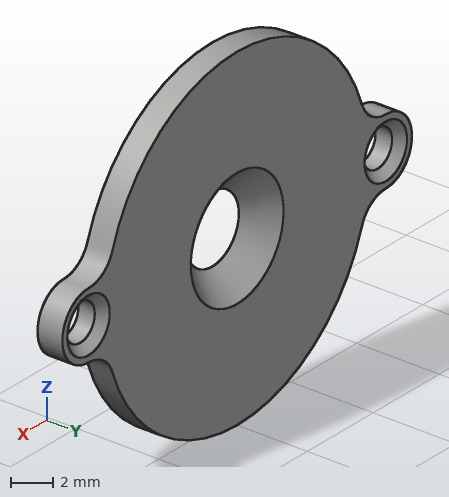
import cadquery as cq
import math

length = 26.5
thickness = 1.5
disc_radius = 20.0 / 2
ear_radius = 2.0
blend_radius = 1.9
center_hole_diameter = 4.0
ear_hole_diameter = 2.2
ear_sink_depth = 0.5

ear_x = length / 2 - ear_radius

disc_to_blend = disc_radius + blend_radius
ear_to_blend = ear_radius + blend_radius
blend_x = (disc_to_blend**2 - ear_to_blend**2 + ear_x**2) / (2 * ear_x)
blend_z = math.sqrt(disc_to_blend**2 - blend_x**2)

disc_x = blend_x * disc_radius / disc_to_blend
disc_z = blend_z * disc_radius / disc_to_blend
ear_tangent_x = ear_x + (blend_x - ear_x) * ear_radius / ear_to_blend
ear_tangent_z = blend_z * ear_radius / ear_to_blend

chord_x = (disc_x + ear_tangent_x) / 2 - blend_x
chord_z = (disc_z + ear_tangent_z) / 2 - blend_z
chord_distance = math.hypot(chord_x, chord_z)
blend_mid_x = blend_x + blend_radius * chord_x / chord_distance
blend_mid_z = blend_z + blend_radius * chord_z / chord_distance


def make_plate():
    """Disc with two blended ears, centred on the origin."""
    return (
        cq.Workplane("XZ")
        .moveTo(-disc_x, disc_z)
        .threePointArc((0, disc_radius), (disc_x, disc_z))
        .threePointArc((blend_mid_x, blend_mid_z), (ear_tangent_x, ear_tangent_z))
        .threePointArc((length / 2, 0), (ear_tangent_x, -ear_tangent_z))
        .threePointArc((blend_mid_x, -blend_mid_z), (disc_x, -disc_z))
        .threePointArc((0, -disc_radius), (-disc_x, -disc_z))
        .threePointArc((-blend_mid_x, -blend_mid_z), (-ear_tangent_x, -ear_tangent_z))
        .threePointArc((-length / 2, 0), (-ear_tangent_x, ear_tangent_z))
        .threePointArc((-blend_mid_x, blend_mid_z), (-disc_x, disc_z))
        .close()
        .extrude(thickness)
        .translate((0, thickness / 2, 0))
    )


def cut_countersunk_hole(body, x, diameter, sink_depth):
    """Cut a through hole with a 45 degree countersink opening on the +Y face."""
    radius = diameter / 2
    plus_y = cq.Vector(0, 1, 0)
    front = cq.Vector(x, -thickness / 2, 0)
    sink_start = cq.Vector(x, thickness / 2 - sink_depth, 0)
    bore = cq.Solid.makeCylinder(radius, thickness, front, plus_y)
    sink = cq.Solid.makeCone(radius, radius + sink_depth, sink_depth, sink_start, plus_y)
    return body.cut(cq.Workplane(bore)).cut(cq.Workplane(sink))


result = cut_countersunk_hole(make_plate(), 0, center_hole_diameter, thickness)
for side in (-1, 1):
    result = cut_countersunk_hole(result, side * ear_x, ear_hole_diameter, ear_sink_depth)